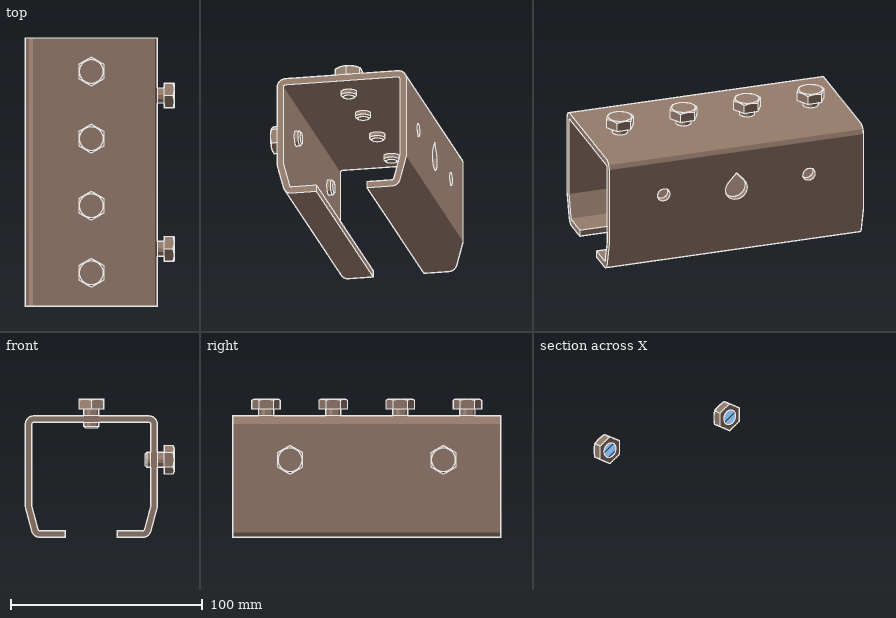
import cadquery as cq
import math

length = 140.0
width = 69.0
height = 63.5
thickness = 3.5
inner_bend_radius = 1.0
outer_bend_radius = inner_bend_radius + thickness
slant_angle = math.radians(15.0)
knee_height = 15.9
lip_gap = 27.0

side_axis_drop = 23.0
side_axis_z = height - side_axis_drop
side_screw_spacing = 80.0
side_screw_places = [(y, side_axis_z) for y in (-side_screw_spacing / 2, side_screw_spacing / 2)]
side_hole_diameter = 6.8
drop_hole_diameter = 12.0
drop_tip_rise = 8.9
drop_hole_z = 38.1

shank_diameter = 8.0
shank_length = 10.0
tip_chamfer = 1.0
neck_fillet = 0.4
head_width = 13.0
head_height = 5.3
head_face_diameter = 0.95 * head_width
head_chamfer_angle = math.radians(30.0)
head_standoff = 3.5
top_screw_count = 4
top_screw_spacing = 35.0


def channel_section():
    """Corner points of the right half of the section: outer side, lip end and inner side."""
    half_width = width / 2
    outer_foot_x = half_width - knee_height * math.tan(slant_angle)
    inner_knee_z = knee_height + thickness * math.tan(slant_angle / 2)
    inner_foot_x = outer_foot_x - thickness * math.tan((math.pi / 2 - slant_angle) / 2)
    outer = [
        (half_width, height),
        (half_width, knee_height),
        (outer_foot_x, 0),
    ]
    lip = [
        (lip_gap / 2, 0),
        (lip_gap / 2, thickness),
    ]
    inner = [
        (inner_foot_x, thickness),
        (half_width - thickness, inner_knee_z),
        (half_width - thickness, height - thickness),
    ]
    return outer, lip, inner


def mirrored(points):
    """The same points across the middle plane, in the order that continues the outline."""
    return [(-x, z) for x, z in reversed(points)]


def bend_edges(body, points):
    """Edges of the extruded section that run along Y through the given points."""
    reach = 0.01
    edges = cq.Workplane("XY")
    for x, z in points:
        edges = edges.add(body.edges(cq.selectors.BoxSelector(
            (x - reach, -reach, z - reach),
            (x + reach, reach, z + reach),
        )).vals())
    return edges.vals()


def make_sheet():
    outer, lip, inner = channel_section()
    right_half = outer + lip + inner
    sheet = (
        cq.Workplane("XZ")
        .polyline(right_half + mirrored(right_half))
        .close()
        .extrude(length / 2, both=True)
    )
    for points, radius in ((outer, outer_bend_radius), (inner, inner_bend_radius)):
        edges = bend_edges(sheet, points + mirrored(points))
        sheet = sheet.newObject([sheet.val().fillet(radius, edges)])
    return sheet


def wall_cutter(section):
    """Carry a section drawn on the YZ plane through the left wall only."""
    return section.extrude(-width / 2)


def drop_hole():
    """Teardrop: a round hole whose upper side runs in two tangent lines to a point."""
    radius = drop_hole_diameter / 2
    tangent_angle = math.acos(radius / drop_tip_rise)
    tangent_y = radius * math.sin(tangent_angle)
    tangent_z = radius * math.cos(tangent_angle)
    section = (
        cq.Workplane("YZ")
        .center(0, drop_hole_z)
        .moveTo(-tangent_y, tangent_z)
        .threePointArc((0, -radius), (tangent_y, tangent_z))
        .lineTo(0, drop_tip_rise)
        .close()
    )
    return wall_cutter(section)


def side_holes():
    section = (
        cq.Workplane("YZ")
        .pushPoints(side_screw_places)
        .circle(side_hole_diameter / 2)
    )
    return wall_cutter(section)


def make_screw():
    """Hexagon screw pointing up, underside of its head at Z = 0, two corners on the Y axis."""
    corner_diameter = head_width / math.cos(math.pi / 6)
    face_radius = head_face_diameter / 2
    head = (
        cq.Workplane("XY")
        .polygon(6, corner_diameter)
        .extrude(head_height)
        .rotate((0, 0, 0), (0, 0, 1), 30)
    )
    chamfer_drop = (corner_diameter / 2 - face_radius) * math.tan(head_chamfer_angle)
    head_limit = (
        cq.Workplane("XZ")
        .polyline([
            (0, 0),
            (corner_diameter / 2, 0),
            (corner_diameter / 2, head_height - chamfer_drop),
            (face_radius, head_height),
            (0, head_height),
        ])
        .close()
        .revolve(360, (0, 0), (0, 1))
    )
    shank = (
        cq.Workplane("XY")
        .circle(shank_diameter / 2)
        .extrude(-shank_length)
        .faces("<Z")
        .chamfer(tip_chamfer)
    )
    screw = head.intersect(head_limit).union(shank)
    neck_point = (0, 0, 0)
    neck_edge = cq.selectors.NearestToPointSelector(neck_point)
    return screw.edges("%CIRCLE").edges(neck_edge).fillet(neck_fillet)


def make_top_screws():
    screws = []
    first_y = -top_screw_spacing * (top_screw_count - 1) / 2
    for index in range(top_screw_count):
        y = first_y + index * top_screw_spacing
        screws.append(make_screw().translate((0, y, height + head_standoff)))
    return screws


def make_channel(top_screws):
    """Sheet with its holes; the two side screws are one piece with the right wall."""
    channel = make_sheet().cut(drop_hole()).cut(side_holes())
    for screw in top_screws:
        channel = channel.cut(screw)
    for y, z in side_screw_places:
        side_screw = (
            make_screw()
            .rotate((0, 0, 0), (0, 0, 1), 90)
            .rotate((0, 0, 0), (0, 1, 0), 90)
            .translate((width / 2 + head_standoff, y, z))
        )
        channel = channel.union(side_screw)
    return channel


top_screws = make_top_screws()
channel = make_channel(top_screws)

result = cq.Compound.makeCompound([channel.val()] + [screw.val() for screw in top_screws])